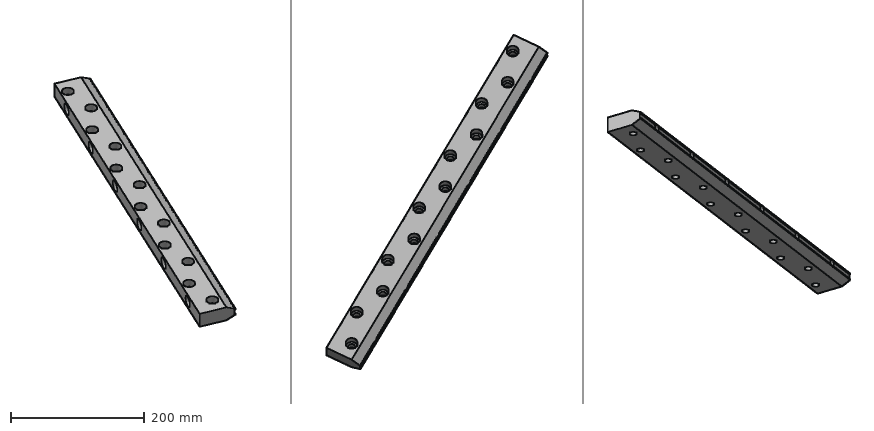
import cadquery as cq

length = 599.5
width = 58.04
height = 25.0

nose_length = 15.0
nose_height = 11.0
groove_width = 8.5
groove_depth = 1.5

hole_diameter = 11.0
counterbore_diameter = 18.0
counterbore_depth = 13.0
hole_pitch = 100.0
holes_per_row = 6
front_row_y = 12.0
rear_row_y = 30.0

front_row_margin = 25.0
row_stagger = hole_pitch / 2
bar_start = -length / 2
front_row_start = bar_start + front_row_margin
rear_row_start = front_row_start + row_stagger
side_row_start = front_row_start + row_stagger / 2


def make_bar():
    """Constant section in the YZ plane, extruded along X."""
    half_height = height / 2
    half_nose = nose_height / 2
    half_groove = groove_width / 2
    groove_floor_y = width - groove_depth
    shoulder_y = width - nose_length
    return (
        cq.Workplane("YZ", origin=(bar_start, 0, 0))
        .moveTo(0, -half_height)
        .lineTo(shoulder_y, -half_height)
        .lineTo(width, -half_nose)
        .lineTo(width, -half_groove)
        .lineTo(groove_floor_y, -half_groove)
        .lineTo(groove_floor_y, half_groove)
        .lineTo(width, half_groove)
        .lineTo(width, half_nose)
        .lineTo(shoulder_y, half_height)
        .lineTo(0, half_height)
        .close()
        .extrude(length)
    )


def row_points(start_x, offset):
    """Evenly spaced hole centres along X."""
    return [(start_x + i * hole_pitch, offset) for i in range(holes_per_row)]


def drill(body, face_plane, points):
    """Counterbored through holes, sunk from the given face."""
    return (
        body.copyWorkplane(face_plane)
        .pushPoints(points)
        .cboreHole(hole_diameter, counterbore_diameter, counterbore_depth)
    )


top_face = cq.Workplane("XY", origin=(0, 0, height / 2))
back_face = cq.Workplane("XZ")

result = make_bar()
result = drill(result, top_face, row_points(front_row_start, front_row_y))
result = drill(result, top_face, row_points(rear_row_start, rear_row_y))
result = drill(result, back_face, row_points(side_row_start, 0))